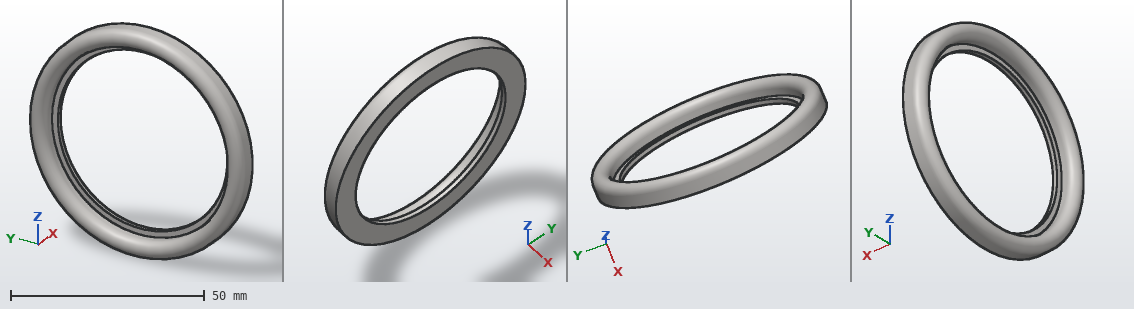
import cadquery as cq

outer_diameter = 64.0
bore_diameter = 54.0
lip_diameter = 50.5
ring_width = 6.0
lip_thickness = 1.5

outer_radius = outer_diameter / 2
bore_radius = bore_diameter / 2
lip_radius = lip_diameter / 2

nose_radius = (outer_radius - bore_radius) / 2
nose_center_radius = (outer_radius + bore_radius) / 2
front_x = -ring_width / 2
back_x = ring_width / 2
nose_end_x = front_x + nose_radius
lip_face_x = back_x - lip_thickness

section = (
    cq.Workplane("XY")
    .moveTo(nose_end_x, bore_radius)
    .threePointArc((front_x, nose_center_radius), (nose_end_x, outer_radius))
    .lineTo(back_x, outer_radius)
    .lineTo(back_x, lip_radius)
    .lineTo(lip_face_x, lip_radius)
    .lineTo(lip_face_x, bore_radius)
    .close()
)

result = section.revolve(360, (0, 0, 0), (1, 0, 0))